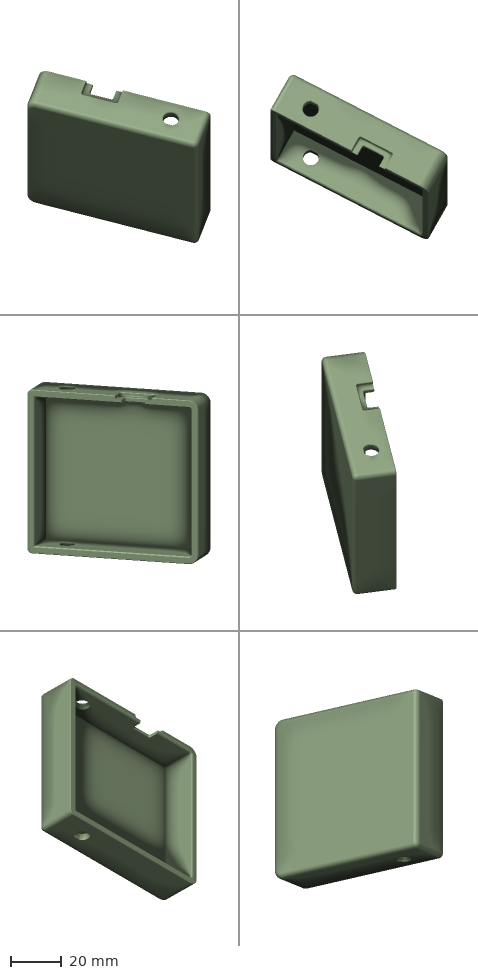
import cadquery as cq
import math

width = 71.0
depth = 17.5
height = 66.0
wall = 3.0
left_corner_radius = 4.0
edge_radius = 2.0
outer_rim_chamfer = 0.2
inner_rim_chamfer = 0.4

notch_center_x = 27.0
recess_width = 15.05
recess_reach = 6.8
recess_depth = 1.5
opening_width = 9.65
opening_reach = 4.55
notch_corner_radius = 0.85
notch_chamfer = 0.2
recess_floor_bevel = 0.35

hole_x = 56.9
hole_to_rim = 7.7
hole_radius = 3.1
hole_flat_offset = 2.8
hole_chamfer = 0.3

overcut = 1.4


def make_shell():
    """Rounded tray, hollow and open towards +Y."""
    body = cq.Workplane("XY").box(width, depth, height, centered=False)
    body = body.edges("|Y and <X").fillet(left_corner_radius)
    body = body.edges("<Y or (|Y and >X)").fillet(edge_radius)
    body = body.faces(">Y").chamfer(outer_rim_chamfer)

    cavity = cq.Workplane("XY").box(width - 2 * wall, depth, height - 2 * wall, centered=False)
    cavity = cavity.edges("|Y and <X").fillet(left_corner_radius - wall)
    body = body.cut(cavity.translate((wall, wall, wall)))
    mouth_edges = body.faces(">Y").val().innerWires()[0].Edges()
    return body.newObject(mouth_edges).chamfer(inner_rim_chamfer)


def loft_between(lower, upper):
    """Straight-sided solid joining two outlines."""
    return cq.Workplane(cq.Solid.makeLoft([lower, upper], True))


def chamfered_cutter(outline, level, length, chamfer, floor_bevel=0):
    """Prism going down from a level, flared 45 degrees at its top and optionally bevelled at its floor."""
    floor = level - length
    straight_floor = floor + floor_bevel
    down = cq.Vector(0, 0, straight_floor - level)
    cutter = cq.Workplane(cq.Solid.extrudeLinear(outline(level, 0), [], down))
    cutter = cutter.union(loft_between(outline(level - chamfer, 0), outline(level, chamfer)))
    if floor_bevel > 0:
        cutter = cutter.union(loft_between(outline(floor, -floor_bevel), outline(straight_floor, 0)))
    return cutter


def slot_outline(slot_width, reach):
    """Round-cornered slot that reaches in from the rim and closes beyond it, as a growable outline."""

    def outline(level, margin):
        half_width = slot_width / 2 + margin
        bend = notch_corner_radius + margin
        length = reach + margin + overcut
        return (
            cq.Workplane("XY", origin=(notch_center_x, depth - reach - margin, level))
            .moveTo(-half_width, length)
            .lineTo(-half_width, bend)
            .radiusArc((bend - half_width, 0), -bend)
            .lineTo(half_width - bend, 0)
            .radiusArc((half_width, bend), -bend)
            .lineTo(half_width, length)
            .close()
            .val()
        )

    return outline


def d_outline(level, margin):
    """Circle cut off by a flat on its -Y side, grown by a margin."""
    radius = hole_radius + margin
    flat_offset = hole_flat_offset + margin
    half_flat = math.sqrt(radius**2 - flat_offset**2)
    return (
        cq.Workplane("XY", origin=(hole_x, depth - hole_to_rim, level))
        .moveTo(-half_flat, -flat_offset)
        .threePointArc((0, radius), (half_flat, -flat_offset))
        .close()
        .val()
    )


ledge_level = height - recess_depth
recess = chamfered_cutter(
    slot_outline(recess_width, recess_reach), height, recess_depth, notch_chamfer, recess_floor_bevel
)
opening = chamfered_cutter(slot_outline(opening_width, opening_reach), ledge_level, wall, notch_chamfer)
d_hole = chamfered_cutter(d_outline, height, height + overcut, hole_chamfer)

result = make_shell().cut(recess).cut(opening).cut(d_hole)